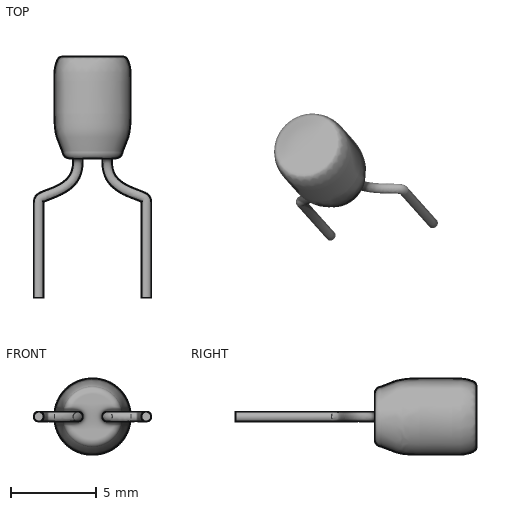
import cadquery as cq
import math


body_length = 5.99
body_radius = 2.25
lead_face_radius = 1.3
rim_radius = 1.77
rim_height = 0.4
belt_start = 2.63
belt_end = 4.53
taper_knee_radius = 2.1
taper_knee_height = 1.22
taper_slope = 0.4
shoulder_radius = 2.12
shoulder_drop = 0.34
closed_face_radius = 1.73

lead_diameter = 0.58
lead_pitch = 6.32
exit_pitch = 1.71
total_length = 14.16
stub_length = 0.14
bend_end_depth = 2.58
bend_points = [(1.13, 1.19), (2.18, 1.95), (2.96, 2.27)]
lead_embed = 0.71


def make_body():
    diagonal = math.cos(math.pi / 4)
    rim_middle = (
        lead_face_radius + (rim_radius - lead_face_radius) * diagonal,
        rim_height * (1 - diagonal),
    )
    profile = (
        cq.Workplane("XY")
        .lineTo(lead_face_radius, 0)
        .threePointArc(rim_middle, (rim_radius, rim_height))
        .spline(
            [(taper_knee_radius, taper_knee_height), (body_radius, belt_start)],
            tangents=[(taper_slope, 1), (0, 1)],
            includeCurrent=True,
        )
        .lineTo(body_radius, belt_end)
        .spline(
            [(shoulder_radius, body_length - shoulder_drop), (closed_face_radius, body_length)],
            tangents=[(0, 1), (-1, 0)],
            includeCurrent=True,
        )
        .lineTo(0, body_length)
        .close()
    )
    return profile.revolve(360, (0, 0, 0), (0, 1, 0))


def make_lead(side):
    """Lead with an S-bend that spreads it to the leg pitch; side is -1 or +1."""
    exit_x = side * exit_pitch / 2
    leg_x = side * lead_pitch / 2
    bend_course = [(side * x, -depth) for x, depth in bend_points]

    path = (
        cq.Workplane("XY")
        .moveTo(exit_x, lead_embed)
        .lineTo(exit_x, -stub_length)
        .spline(
            bend_course + [(leg_x, -bend_end_depth)],
            tangents=[(0, -1), (0, -1)],
            includeCurrent=True,
        )
        .lineTo(leg_x, body_length - total_length)
    )
    section = cq.Workplane("XZ", origin=(exit_x, lead_embed, 0)).circle(lead_diameter / 2)
    return section.sweep(path)


result = make_body()
for side in (-1, 1):
    result = result.union(make_lead(side))